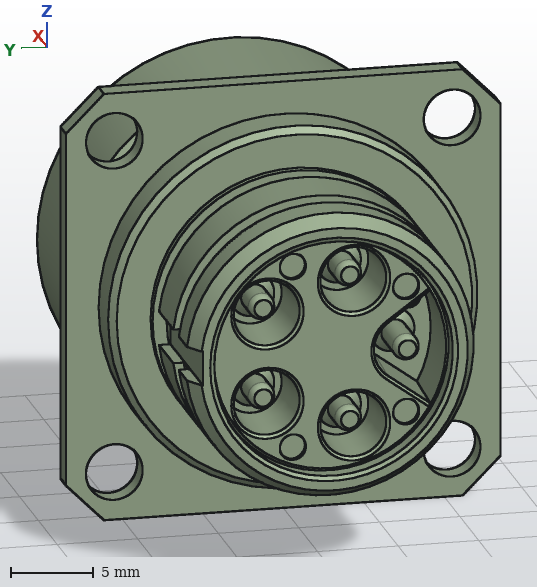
import cadquery as cq
import math


length = 28.8
nose_radius = 8.93
nose_chamfer_length = 1.15
nose_face_radius = 8.3
seal_groove_start = 3.43
seal_groove_end = 4.78
seal_groove_radius = 8.3
seal_groove_bevel = 0.12
coupling_groove_start = 8.6
coupling_groove_end = 10.02
coupling_groove_radius = 8.05
shoulder_start = 10.57
shoulder_radius = 11.45
shoulder_chamfer = 0.43

flange_start = 13.55
flange_thickness = 1.5
flange_end = flange_start + flange_thickness
flange_side = 27.0
flange_corner_cut = 2.35
mount_hole_offset = 10.48
mount_hole_radius = 1.75

neck_radius = 9.96
neck_fillet = 0.3
neck_end = 17.37
rear_radius = 11.95
rear_start = 19.3
rear_chamfer_length = 0.92
rear_face_radius = 11.43

keyway_width = 2.13
keyway_floor = 8.15

bore_mouth_radius = 7.7
bore_radius = 7.4
bore_chamfer_length = 0.15
insert_face = 1.07
insert_chamfer = 0.2
insert_radius = bore_radius - insert_chamfer

contact_count = 5
contact_circle_radius = 4.8
key_contact_angle = 180.0
contact_spacing = 360.0 / contact_count
cavity_radius = 2.05
cavity_rim_radius = 2.25
cavity_floor_radius = 1.85
rim_angle = 45
key_wall_reach = 5.75
cavity_floor = 5.18
pin_tip = 2.15
key_pin_tip = insert_face
pin_tip_radius = 0.55
pin_radius = 0.8
pin_tip_length = 0.58
pin_tip_round = 0.85
pin_base_radius = 1.38
pin_base_start = 4.6

label_circle_radius = 6.15
label_radius = 0.8
label_depth = 0.3
label_angles = (68, 140, -140, -68)
key_label_angle = 160


def disc(x_start, x_end, radius, y=0.0, z=0.0):
    """Cylinder along X, centred on (y, z)."""
    return cq.Workplane("YZ", origin=(x_start, y, z)).circle(radius).extrude(x_end - x_start)


def polar(radius, angle):
    """Y and Z of a point at an angle measured from +Y towards +Z."""
    return radius * math.cos(math.radians(angle)), radius * math.sin(math.radians(angle))


def revolve_about_x(profile):
    return profile.close().revolve(360, (0, 0, 0), (1, 0, 0))


def make_shell():
    profile = (
        cq.Workplane("XY")
        .moveTo(0, 0)
        .lineTo(0, nose_face_radius)
        .lineTo(nose_chamfer_length, nose_radius)
        .lineTo(seal_groove_start - seal_groove_bevel, nose_radius)
        .lineTo(seal_groove_start, nose_radius - seal_groove_bevel)
        .lineTo(seal_groove_start, seal_groove_radius)
        .lineTo(seal_groove_end, seal_groove_radius)
        .lineTo(seal_groove_end, nose_radius)
        .lineTo(coupling_groove_start, nose_radius)
        .lineTo(coupling_groove_start, coupling_groove_radius)
        .lineTo(coupling_groove_end, coupling_groove_radius)
        .lineTo(coupling_groove_end, nose_radius)
        .lineTo(shoulder_start, nose_radius)
        .lineTo(shoulder_start, shoulder_radius - shoulder_chamfer)
        .lineTo(shoulder_start + shoulder_chamfer, shoulder_radius)
        .lineTo(flange_end, shoulder_radius)
        .lineTo(flange_end, neck_radius + neck_fillet)
        .radiusArc((flange_end + neck_fillet, neck_radius), -neck_fillet)
        .lineTo(neck_end, neck_radius)
        .lineTo(rear_start, rear_radius)
        .lineTo(length - rear_chamfer_length, rear_radius)
        .lineTo(length, rear_face_radius)
        .lineTo(length, 0)
    )
    return revolve_about_x(profile)


def make_flange():
    plate = (
        cq.Workplane("YZ", origin=(flange_start, 0, 0))
        .rect(flange_side, flange_side)
        .extrude(flange_thickness)
        .edges("|X")
        .chamfer(flange_corner_cut)
    )
    holes = (
        cq.Workplane("YZ", origin=(flange_start, 0, 0))
        .rect(2 * mount_hole_offset, 2 * mount_hole_offset, forConstruction=True)
        .vertices()
        .circle(mount_hole_radius)
        .extrude(flange_thickness)
    )
    return plate.cut(holes)


def make_keyway():
    height = nose_radius - keyway_floor
    return (
        cq.Workplane("XY")
        .box(coupling_groove_end, height, keyway_width, centered=(False, False, True))
        .translate((0, keyway_floor, 0))
    )


def make_bore():
    profile = (
        cq.Workplane("XY")
        .moveTo(0, 0)
        .lineTo(0, bore_mouth_radius)
        .lineTo(bore_chamfer_length, bore_radius)
        .lineTo(insert_face + insert_chamfer, bore_radius)
        .lineTo(insert_face, bore_radius - insert_chamfer)
        .lineTo(insert_face, 0)
    )
    return revolve_about_x(profile)


def round_outline(radius, x_start, angle):
    y, z = polar(contact_circle_radius, angle)
    return cq.Workplane("YZ", origin=(x_start, y, z)).circle(radius)


def key_outline(radius, x_start, angle):
    """Arc around the key contact, opened outwards by two tangent walls one contact spacing apart in angle."""
    wall_angle = math.radians(contact_spacing / 2)
    tangent_y = radius * math.sin(wall_angle)
    tangent_z = radius * math.cos(wall_angle)
    far_y = tangent_y - key_wall_reach * math.cos(wall_angle)
    far_z = tangent_z + key_wall_reach * math.sin(wall_angle)
    y, z = polar(contact_circle_radius, angle)
    return (
        cq.Workplane("YZ", origin=(x_start, y, z))
        .moveTo(far_y, far_z)
        .lineTo(tangent_y, tangent_z)
        .threePointArc((radius, 0), (tangent_y, -tangent_z))
        .lineTo(far_y, -far_z)
        .close()
    )


def make_cavity(outline, angle):
    """Cavity with a bevelled rim and drafted walls, kept inside the insert."""
    rim_depth = (cavity_rim_radius - cavity_radius) / math.tan(math.radians(rim_angle))
    rim_end = insert_face + rim_depth
    wall_depth = cavity_floor - rim_end
    draft = math.degrees(math.atan2(cavity_radius - cavity_floor_radius, wall_depth))
    rim = outline(cavity_rim_radius, insert_face, angle).extrude(rim_depth, taper=rim_angle)
    walls = outline(cavity_radius, rim_end, angle).extrude(wall_depth, taper=draft)
    return rim.union(walls).intersect(disc(insert_face, cavity_floor, insert_radius))


def make_pin(tip, angle):
    y, z = polar(contact_circle_radius, angle)
    profile = (
        cq.Workplane("XY")
        .moveTo(tip, 0)
        .lineTo(tip, pin_tip_radius)
        .radiusArc((tip + pin_tip_length, pin_radius), pin_tip_round)
        .lineTo(pin_base_start, pin_radius)
        .lineTo(cavity_floor, pin_base_radius)
        .lineTo(cavity_floor, 0)
    )
    return revolve_about_x(profile).translate((0, y, z))


def make_label_recess(surface, angle):
    y, z = polar(label_circle_radius, angle)
    return disc(surface, surface + label_depth, label_radius, y, z)


result = make_shell().union(make_flange()).cut(make_keyway()).cut(make_bore())

for i in range(contact_count):
    contact_angle = key_contact_angle + i * contact_spacing
    is_key = i == 0
    outline = key_outline if is_key else round_outline
    tip = key_pin_tip if is_key else pin_tip
    result = result.cut(make_cavity(outline, contact_angle)).union(make_pin(tip, contact_angle))

for label_angle in label_angles:
    result = result.cut(make_label_recess(insert_face, label_angle))
result = result.cut(make_label_recess(cavity_floor, key_label_angle))